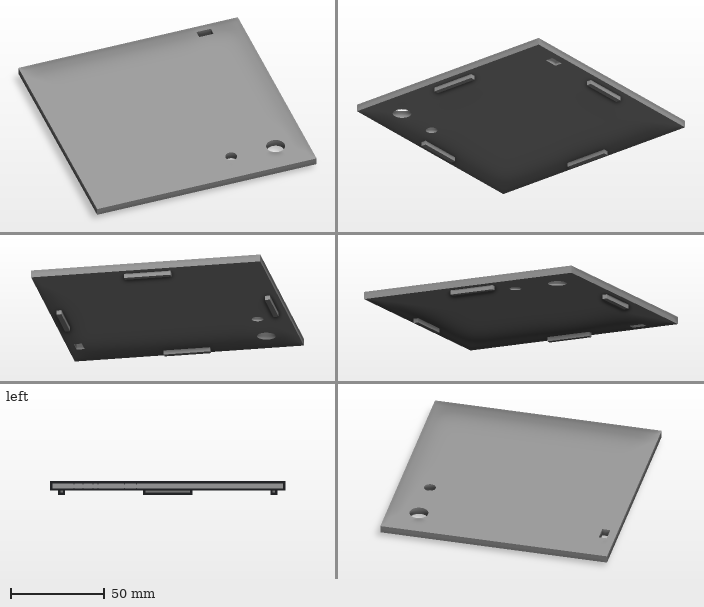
import cadquery as cq

plate_side = 125.0
total_height = 6.4
plate_thickness = 4.0
tab_height = total_height - plate_thickness

edge_inset = 4.2
tab_length = 25.2
tab_thickness = 2.8

hole_x = 45.4
large_hole_diameter = 10.1
large_hole_y = 45.2
small_hole_diameter = 6.4
small_hole_y = 20.0
slot_width = 4.4
slot_length = 8.1
slot_x = -plate_side / 2 + edge_inset + slot_width / 2
slot_y = 41.5


def make_plate():
    return (
        cq.Workplane("XY")
        .workplane(offset=tab_height)
        .rect(plate_side, plate_side)
        .extrude(plate_thickness)
    )


def make_tab(angle):
    """Tab along the +Y side, turned about Z to the chosen side."""
    tab_y = plate_side / 2 - edge_inset - tab_thickness / 2
    tab = (
        cq.Workplane("XY")
        .center(0, tab_y)
        .rect(tab_length, tab_thickness)
        .extrude(tab_height)
    )
    return tab.rotate((0, 0, 0), (0, 0, 1), angle)


def make_hole(diameter, y):
    return cq.Workplane("XY").center(hole_x, y).circle(diameter / 2).extrude(total_height)


def make_slot():
    return (
        cq.Workplane("XY")
        .center(slot_x, slot_y)
        .rect(slot_width, slot_length)
        .extrude(total_height)
    )


result = make_plate()
for side_angle in (0, 90, 180, 270):
    result = result.union(make_tab(side_angle))
result = result.cut(make_hole(large_hole_diameter, large_hole_y))
result = result.cut(make_hole(small_hole_diameter, small_hole_y))
result = result.cut(make_slot())